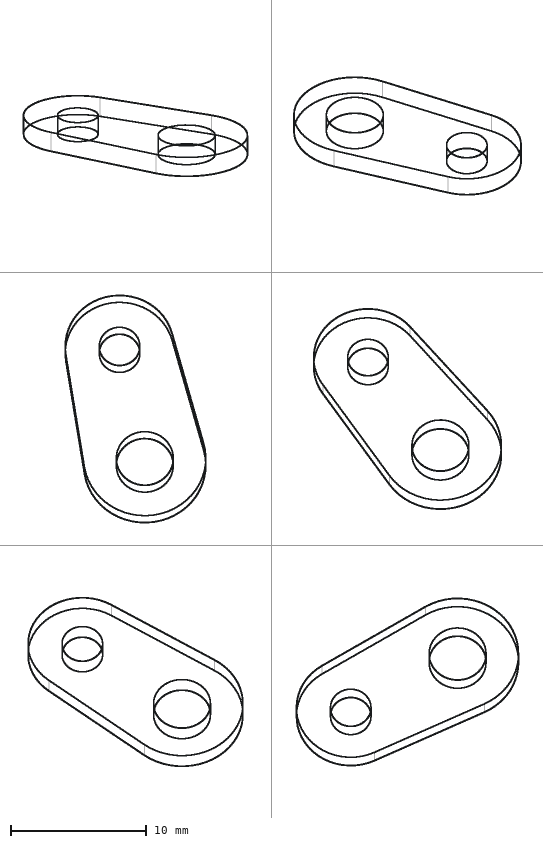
import cadquery as cq
import math

length = 17.49
thickness = 1.5
small_end_radius = 4.0
large_end_radius = 4.5
small_hole_diameter = 2.99
large_hole_diameter = 4.2

center_distance = length - small_end_radius - large_end_radius

normal_x = (small_end_radius - large_end_radius) / center_distance
normal_y = math.sqrt(1 - normal_x**2)


def tangent_point(center_x, radius, side):
    """Point where a straight side meets an end arc; side is +1 for +Y, -1 for -Y."""
    return (center_x + radius * normal_x, side * radius * normal_y)


def link_plate():
    """Flat plate with two round ends joined by tangent sides."""
    return (
        cq.Workplane("XY")
        .moveTo(*tangent_point(0, small_end_radius, -1))
        .lineTo(*tangent_point(center_distance, large_end_radius, -1))
        .threePointArc(
            (center_distance + large_end_radius, 0),
            tangent_point(center_distance, large_end_radius, 1),
        )
        .lineTo(*tangent_point(0, small_end_radius, 1))
        .threePointArc(
            (-small_end_radius, 0),
            tangent_point(0, small_end_radius, -1),
        )
        .close()
        .extrude(thickness)
    )


def hole_cutter(center_x, diameter):
    """Cylinder that cuts a through hole concentric with an end."""
    return cq.Workplane("XY").center(center_x, 0).circle(diameter / 2).extrude(thickness)


result = (
    link_plate()
    .cut(hole_cutter(0, small_hole_diameter))
    .cut(hole_cutter(center_distance, large_hole_diameter))
)